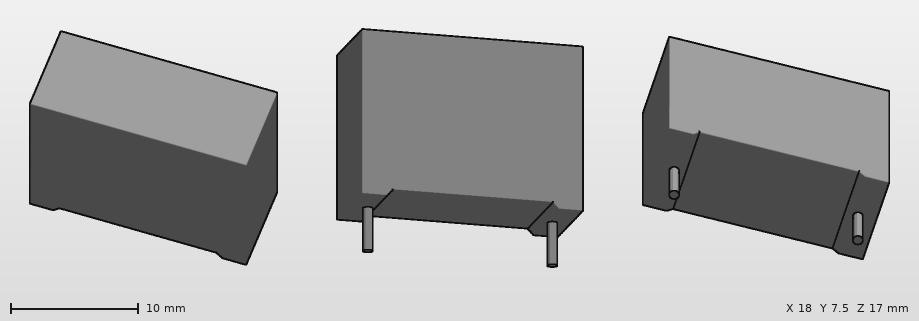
import cadquery as cq

body_length = 18.0
body_width = 7.5
body_height = 13.5
edge_radius = 0.1

foot_length = 2.0
standoff_height = 0.5

lead_pitch = 15.0
lead_diameter = 0.8
lead_length = 3.5
lead_embed = 0.9


def make_body():
    """Block with a full-width relief underneath; all but its two inside corners are rounded."""
    half_length = body_length / 2
    relief_bottom_x = half_length - foot_length
    relief_top_x = relief_bottom_x - standoff_height
    outline = [
        (-half_length, 0),
        (-relief_bottom_x, 0),
        (-relief_top_x, standoff_height),
        (relief_top_x, standoff_height),
        (relief_bottom_x, 0),
        (half_length, 0),
        (half_length, body_height),
        (-half_length, body_height),
    ]
    block = cq.Workplane("XZ").polyline(outline).close().extrude(body_width / 2, both=True)
    return block.edges("(not |Y) or >Z or <Z").fillet(edge_radius)


def make_leads():
    """Two round leads running down from inside the body."""
    return (
        cq.Workplane("XY", origin=(0, 0, -lead_length))
        .pushPoints([(-lead_pitch / 2, 0), (lead_pitch / 2, 0)])
        .circle(lead_diameter / 2)
        .extrude(lead_length + lead_embed)
    )


result = make_body().union(make_leads())